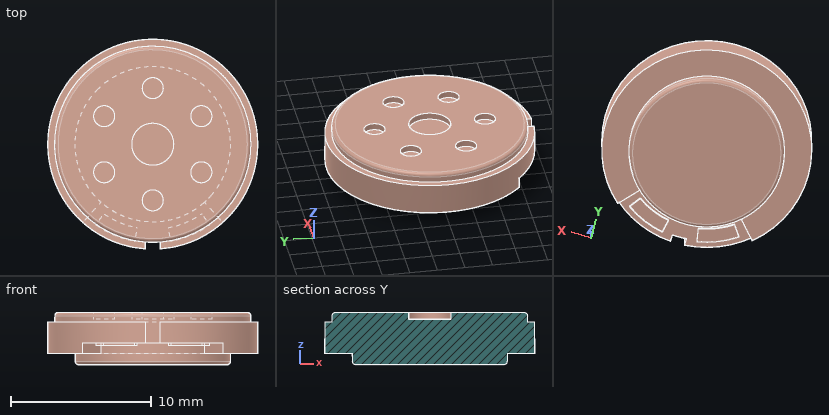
import cadquery as cq
import math

total_height = 3.75
flange_radius = 7.5
flange_bottom = 0.81
flange_top = 3.08
body_radius = 7.0
base_radius = 5.55
edge_fillet = 0.25

center_hole_diameter = 3.0
small_hole_diameter = 1.5
small_hole_count = 6
hole_circle_radius = 4.0
hole_depth = 0.5

slot_width = 1.04

relief_top = 1.58
relief_half_angle = 41.8

pad_inner_radius = 6.08
pad_outer_radius = 7.05
pad_height = 0.18
pad_start_angle = 10.5
pad_end_angle = 35.2


def disc(radius, bottom, top):
    return cq.Workplane("XY").workplane(offset=bottom).circle(radius).extrude(top - bottom)


def ring_sector(inner_radius, outer_radius, start_angle, end_angle, bottom, top):
    """Ring segment between two angles in degrees from -Y, positive toward +X."""

    def point(radius, angle):
        radians = math.radians(angle)
        return (radius * math.sin(radians), -radius * math.cos(radians))

    middle_angle = (start_angle + end_angle) / 2
    return (
        cq.Workplane("XY")
        .workplane(offset=bottom)
        .moveTo(*point(inner_radius, start_angle))
        .lineTo(*point(outer_radius, start_angle))
        .threePointArc(point(outer_radius, middle_angle), point(outer_radius, end_angle))
        .lineTo(*point(inner_radius, end_angle))
        .threePointArc(point(inner_radius, middle_angle), point(inner_radius, start_angle))
        .close()
        .extrude(top - bottom)
    )


def round_body():
    base = disc(base_radius, 0, flange_bottom).faces("<Z").edges().fillet(edge_fillet)
    flange = disc(flange_radius, flange_bottom, flange_top)
    cap = disc(body_radius, flange_top, total_height).faces(">Z").edges().fillet(edge_fillet)
    return base.union(flange).union(cap)


def top_holes():
    hole_floor = total_height - hole_depth
    small_holes = (
        cq.Workplane("XY")
        .workplane(offset=hole_floor)
        .polarArray(hole_circle_radius, 90, 360, small_hole_count)
        .circle(small_hole_diameter / 2)
        .extrude(hole_depth)
    )
    return small_holes.union(disc(center_hole_diameter / 2, hole_floor, total_height))


def rim_slot():
    slot_box = (
        cq.Workplane("XY")
        .workplane(offset=flange_bottom)
        .center(0, -flange_radius / 2)
        .rect(slot_width, flange_radius)
        .extrude(flange_top - flange_bottom)
    )
    return slot_box.cut(disc(body_radius, flange_bottom, flange_top))


def flange_relief():
    return ring_sector(
        base_radius, flange_radius + 0.15, -relief_half_angle, relief_half_angle, flange_bottom, relief_top
    )


result = round_body().cut(top_holes()).cut(rim_slot()).cut(flange_relief())

for side in (-1, 1):
    pad = ring_sector(
        pad_inner_radius,
        pad_outer_radius,
        side * pad_start_angle,
        side * pad_end_angle,
        relief_top - pad_height,
        relief_top,
    )
    result = result.union(pad)